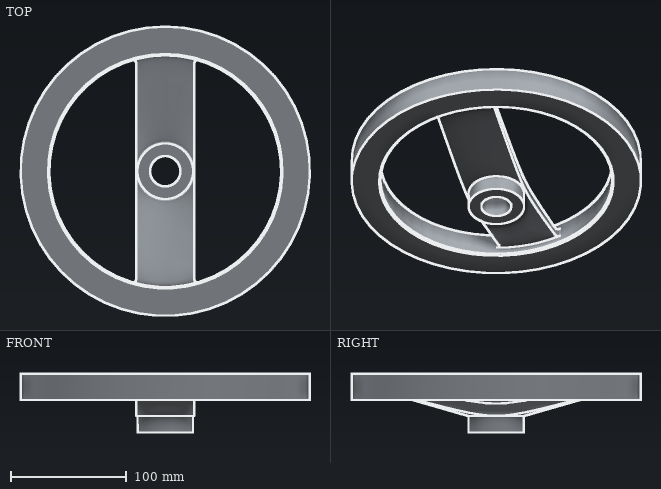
import cadquery as cq
import math

OVERALL_HEIGHT = 51.0

RIM_RADIUS = 125.0
RIM_INNER_RADIUS = 100.0
RIM_HEIGHT = 23.0
RIM_CHAMFER = 1.3
RIM_BOTTOM = OVERALL_HEIGHT - RIM_HEIGHT
RIM_MID_RADIUS = (RIM_RADIUS + RIM_INNER_RADIUS) / 2

HUB_RADIUS = 24.0
HUB_HEIGHT = RIM_BOTTOM
BORE_RADIUS = 13.0

ARM_WIDTH = 50.5
ARM_BOTTOM_AT_HUB = 14.2
ARM_BOTTOM_ANGLE = 16.0
ARM_TOP_AT_HUB = 25.2
ARM_TOP_ANGLE = 14.0
ARM_LEDGE_RADIUS = ARM_WIDTH / 2
ARM_CORNER_FILLET = 2.5


def rise(run, angle):
    """Height gained over a radial run by a face sloping at the given angle."""
    return run * math.tan(math.radians(angle))


def revolve_section(points):
    """Solid of revolution about Z from (radius, height) points."""
    return cq.Workplane("YZ").polyline(points).close().revolve(360, (0, 0, 0), (0, 1, 0))


def make_rim():
    """Flat ring with both inner edges chamfered."""
    section = [
        (RIM_INNER_RADIUS, RIM_BOTTOM + RIM_CHAMFER),
        (RIM_INNER_RADIUS + RIM_CHAMFER, RIM_BOTTOM),
        (RIM_RADIUS, RIM_BOTTOM),
        (RIM_RADIUS, OVERALL_HEIGHT),
        (RIM_INNER_RADIUS + RIM_CHAMFER, OVERALL_HEIGHT),
        (RIM_INNER_RADIUS, OVERALL_HEIGHT - RIM_CHAMFER),
    ]
    return revolve_section(section)


def make_arms():
    """Dished web trimmed to a straight strip across the wheel, ending inside the rim."""
    bottom_at_rim = ARM_BOTTOM_AT_HUB + rise(RIM_MID_RADIUS - HUB_RADIUS, ARM_BOTTOM_ANGLE)
    top_at_rim = ARM_TOP_AT_HUB + rise(RIM_MID_RADIUS - ARM_LEDGE_RADIUS, ARM_TOP_ANGLE)
    section = [
        (0, ARM_BOTTOM_AT_HUB),
        (HUB_RADIUS, ARM_BOTTOM_AT_HUB),
        (RIM_MID_RADIUS, bottom_at_rim),
        (RIM_MID_RADIUS, top_at_rim),
        (ARM_LEDGE_RADIUS, ARM_TOP_AT_HUB),
        (0, ARM_TOP_AT_HUB),
    ]
    strip = cq.Workplane("XY").rect(ARM_WIDTH, 2 * RIM_RADIUS).extrude(OVERALL_HEIGHT)
    return revolve_section(section).intersect(strip)


def round_arm_corners(wheel):
    """Fillet the four upright corners where the arm sides meet the rim."""
    half_width = ARM_WIDTH / 2
    corner_y = math.sqrt(RIM_INNER_RADIUS**2 - half_width**2)
    reach = ARM_CORNER_FILLET
    corners = []
    for x in (-half_width, half_width):
        for y in (-corner_y, corner_y):
            near_corner = cq.selectors.BoxSelector(
                (x - reach, y - reach, 0),
                (x + reach, y + reach, OVERALL_HEIGHT),
            )
            corners += wheel.edges("|Z").edges(near_corner).vals()
    return wheel.newObject(corners).fillet(ARM_CORNER_FILLET)


hub = cq.Workplane("XY").circle(HUB_RADIUS).extrude(HUB_HEIGHT)
bore = cq.Workplane("XY").circle(BORE_RADIUS).extrude(HUB_HEIGHT)

rim_and_arms = round_arm_corners(make_rim().union(make_arms()))
result = rim_and_arms.union(hub).cut(bore)